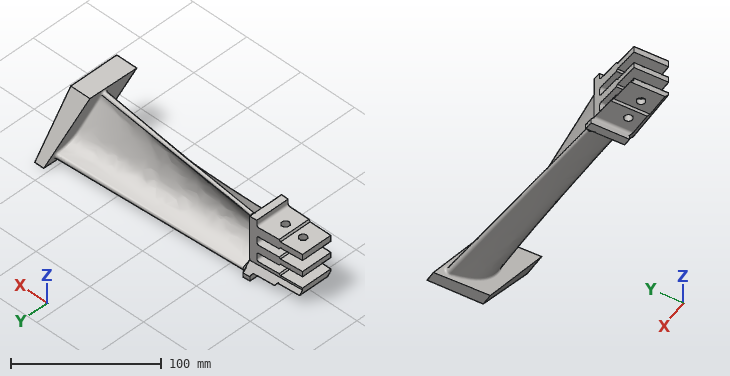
import cadquery as cq
import math

length = 223.0
height = 50.0

flange_start = 39.7
flange_end = 46.0
step_start = 19.2
step_end = 20.3
fingers = [
    (7.8, 12.7, 6.0, 13.8),
    (22.7, 27.5, 21.5, 28.5),
    (37.2, 42.5, 36.0, 44.2),
]
corner_radius = 2.0
root_front_y = 24.3
root_back_y_tip = 51.0
root_back_y_flange = 54.5
jog_top_z = 11.0
jog_bottom_z = 3.8
jog_shift = 6.5

hole_diameter = 6.2
hole_y = 38.5
hole_xs = (11.8, 28.0)

shroud_bottom_z = 1.5
shroud_top_z = 47.7
shroud_depth = 77.6
shroud_edge = 43.5
shroud_top_front_x = 204.3
shroud_top_back_x = 205.2
shroud_bottom_back_x = 214.5

camber_samples = 8
thickness_skew = 0.7
base_section = ((48.6, 45.5), (33.2, 23.2), (56.5, 3.8), 1.5, 5.4)
tip_section = ((28.5, 43.3), (42.2, 18.0), (66.5, 7.1), 2.5, 6.7)
blade_end = 218.5
collar_length = 3.0
collar_rise = 1.1
tip_fillet = 1.5


def root_section(x, back_y):
    """Wire of the root cross-section at station x."""
    return cq.Wire.makePolygon([
        cq.Vector(x, root_front_y, height),
        cq.Vector(x, back_y, height),
        cq.Vector(x, back_y, jog_top_z),
        cq.Vector(x, back_y + jog_shift, jog_bottom_z),
        cq.Vector(x, back_y + jog_shift, 0),
        cq.Vector(x, root_front_y + jog_shift, 0),
        cq.Vector(x, root_front_y + jog_shift, jog_bottom_z),
        cq.Vector(x, root_front_y, jog_top_z),
    ], close=True)


def finger(tip_bottom, tip_top, base_bottom, base_top):
    """Stepped finger, running from its tip to the flange."""
    return (
        cq.Workplane("XZ")
        .moveTo(0, tip_bottom)
        .lineTo(step_start, tip_bottom)
        .lineTo(step_end, base_bottom)
        .lineTo(flange_end, base_bottom)
        .lineTo(flange_end, base_top)
        .lineTo(step_end, base_top)
        .lineTo(step_start, tip_top)
        .lineTo(0, tip_top)
        .close()
        .extrude(-shroud_depth)
    )


def make_root():
    """Flange with three fingers, trimmed to the tapered cross-section."""
    flange_thickness = flange_end - flange_start
    comb = cq.Workplane("XY").box(flange_thickness, shroud_depth, height, centered=False)
    comb = comb.translate((flange_start, 0, 0))
    for sizes in fingers:
        comb = comb.union(finger(*sizes))

    lowest_z = fingers[0][2]
    highest_z = fingers[-1][3]
    margin = 0.2
    inner_corners = cq.selectors.BoxSelector(
        (flange_start - margin, 0, lowest_z - margin),
        (flange_start + margin, shroud_depth, highest_z + margin),
    )
    comb = comb.edges("|Y").edges(inner_corners).fillet(corner_radius)

    envelope = cq.Solid.makeLoft([
        root_section(0, root_back_y_tip),
        root_section(flange_end, root_back_y_flange),
    ], True)
    holes = (
        cq.Workplane("XY")
        .pushPoints([(x, hole_y) for x in hole_xs])
        .circle(hole_diameter / 2)
        .extrude(height)
    )
    return comb.intersect(cq.Workplane(envelope)).cut(holes)


def make_shroud():
    """Parallelogram block cut back to its slanted inner face."""
    block_start = length - shroud_edge
    lean = shroud_depth - shroud_edge
    block = (
        cq.Workplane("YZ", origin=(block_start, 0, 0))
        .polyline([
            (0, shroud_top_z),
            (shroud_edge, shroud_top_z),
            (shroud_depth, shroud_bottom_z),
            (lean, shroud_bottom_z),
        ])
        .close()
        .extrude(length - block_start)
    )
    corner = cq.Vector(shroud_top_front_x, 0, shroud_top_z)
    along_top = cq.Vector(shroud_top_back_x, shroud_edge, shroud_top_z) - corner
    diagonal = cq.Vector(shroud_bottom_back_x, shroud_depth, shroud_bottom_z) - corner
    outward = along_top.cross(diagonal)
    inner_face = cq.Plane(origin=corner.toTuple(), normal=outward.toTuple())
    cutter_size = 4 * shroud_depth
    cutter = cq.Workplane(inner_face).rect(cutter_size, cutter_size).extrude(length)
    return block.cut(cutter)


def aerofoil(x, top_end, middle, bottom_end, end_half, middle_half):
    """Edges of a section around a parabolic camber line given by three (y, z) points."""
    nodes = (top_end, middle, bottom_end)

    def camber(t):
        weights = ((1 - t) * (1 - 2 * t), 4 * t * (1 - t), t * (2 * t - 1))
        slopes = (4 * t - 3, 4 - 8 * t, 4 * t - 1)
        y, z = (sum(w * n[i] for w, n in zip(weights, nodes)) for i in (0, 1))
        dy, dz = (sum(s * n[i] for s, n in zip(slopes, nodes)) for i in (0, 1))
        return cq.Vector(x, y, z), cq.Vector(0, dy, dz).normalized()

    def side_point(t, side):
        center, tangent = camber(t)
        half = end_half + (middle_half - end_half) * math.sin(math.pi * t ** thickness_skew) ** 2
        return center + cq.Vector(0, -tangent.z, tangent.y) * (side * half)

    def side_edge(side):
        stations = [i / camber_samples for i in range(camber_samples + 1)]
        points = [side_point(t, side) for t in stations]
        tangents = [camber(0)[1], camber(1)[1]]
        if side < 0:
            points.reverse()
            tangents = [-tangents[1], -tangents[0]]
        return cq.Edge.makeSpline(points, tangents=tangents, parameters=stations)

    def nose_edge(t, side):
        center, tangent = camber(t)
        crest = center + tangent * (side * end_half)
        return cq.Edge.makeThreePointArc(side_point(t, side), crest, side_point(t, -side))

    return [side_edge(1), nose_edge(1, 1), side_edge(-1), nose_edge(0, -1)]


def ruled_solid(start, end):
    """Solid with straight lines joining matching edges of two sections."""
    faces = [cq.Face.makeRuledSurface(low, high) for low, high in zip(start, end)]
    for section in (start, end):
        faces.append(cq.Face.makeFromWires(cq.Wire.assembleEdges(section)))
    return cq.Workplane(cq.Solid.makeSolid(cq.Shell.makeShell(faces)))


def make_blade():
    """Twisted aerofoil from the flange into the shroud, straight along its length."""
    return ruled_solid(aerofoil(flange_end, *base_section), aerofoil(blade_end, *tip_section))


def make_collar():
    """Flare around the base of the blade."""
    top, middle, bottom, end_half, middle_half = base_section
    wide = (top, middle, bottom, end_half + collar_rise, middle_half + collar_rise)
    return ruled_solid(
        aerofoil(flange_end, *wide),
        aerofoil(flange_end + collar_length, *base_section),
    )


def make_blade_and_shroud():
    """Blade joined to the shroud, with a fillet around the joint."""
    joined = make_blade().union(make_shroud())
    margin = 2.2
    joint = cq.selectors.BoxSelector(
        (shroud_top_front_x - margin, 0, 0),
        (length - margin, shroud_depth, height),
    )
    rims = joined.edges(joint).edges("not %LINE")
    return rims.fillet(tip_fillet)


result = make_root().union(make_collar()).union(make_blade_and_shroud())